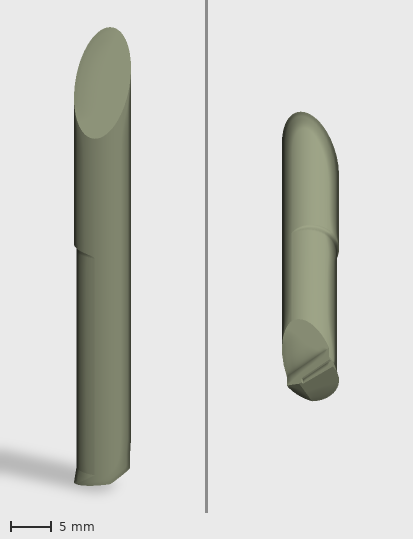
import cadquery as cq
import math

LENGTH = 58.3
RADIUS = 3.5
SLANT_RISE = math.tan(math.radians(60))

NECK_OFFSET = 0.35
NECK_TOP = 30.55
NECK_FILLET = 0.9
NECK_BOTTOM = 2.3
FLARE_BOTTOM = 0.0

FLAT_Y = 0.3
FLAT_TOP = 4.45
END_SLOPE = 0.15
END_RELIEF = 0.1
CORNER_X = 1.6
CORNER_Z = 0.75
CHAMFER_TOP = 2.3

TIP_RIGHT = 1.15
TIP_TOP = 1.65

MARGIN = 2.9
REACH = RADIUS + MARGIN


def yz_prism(points):
    """Extrude an outline of (Y, Z) points across the whole bar."""
    return cq.Workplane("YZ").polyline(points).close().extrude(REACH, both=True)


def rear_slant_cutter():
    """Wedge that leaves the rear end slanted, highest at +Y."""
    low = LENGTH - SLANT_RISE * (RADIUS + REACH)
    high = LENGTH + SLANT_RISE * MARGIN
    return yz_prism([(-REACH, low), (REACH, high), (-REACH, high)])


def front_flat_cutter():
    """Space above the flat, run out by a slanted face toward +Y."""
    run_out = FLAT_TOP + SLANT_RISE * (REACH - FLAT_Y)
    return yz_prism([(FLAT_Y, -MARGIN), (FLAT_Y, FLAT_TOP), (REACH, run_out), (REACH, -MARGIN)])


def neck_cutter():
    """Ring around the neck axis, filleted at the top and flared at the bottom."""
    outer = RADIUS + NECK_FILLET
    arc_side = NECK_FILLET * math.sqrt(0.5)
    flare_slope = (NECK_BOTTOM - FLARE_BOTTOM) / NECK_OFFSET
    flare_end = NECK_BOTTOM - flare_slope * NECK_FILLET
    return (
        cq.Workplane("XZ")
        .moveTo(RADIUS, NECK_BOTTOM)
        .lineTo(RADIUS, NECK_TOP)
        .threePointArc((outer - arc_side, NECK_TOP + arc_side), (outer, NECK_TOP + NECK_FILLET))
        .lineTo(outer, flare_end)
        .close()
        .revolve(360, (0, 0), (0, 1))
        .translate((NECK_OFFSET, 0, 0))
    )


def cutting_end_cutter():
    """Space below the sloping end face, which rises toward +X and toward -Y."""
    def section(y):
        lift = -END_RELIEF * y
        left = lift - END_SLOPE * MARGIN
        right = lift + END_SLOPE * (RADIUS + REACH)
        return cq.Wire.makePolygon(
            [
                cq.Vector(-REACH, y, -REACH),
                cq.Vector(REACH, y, -REACH),
                cq.Vector(REACH, y, right),
                cq.Vector(-REACH, y, left),
            ],
            close=True,
        )
    return cq.Workplane(cq.Solid.makeLoft([section(-REACH), section(REACH)], True))


def end_chamfer_cutter():
    """Wedge that chamfers the end away from the cutting edge."""
    slope = (CHAMFER_TOP - CORNER_Z) / (RADIUS - CORNER_X)
    low = CORNER_Z - slope * MARGIN
    high = CHAMFER_TOP + slope * MARGIN
    points = [(CORNER_X - MARGIN, low), (REACH, high), (REACH, low)]
    return cq.Workplane("XZ").polyline(points).close().extrude(REACH, both=True)


def tip_zone():
    """Corner of the front end that is taken by the cutting tip and its rake clearance."""
    width = REACH + TIP_RIGHT
    height = REACH + TIP_TOP
    center = ((TIP_RIGHT - REACH) / 2, 0, (TIP_TOP - REACH) / 2)
    return cq.Workplane().box(width, 2 * REACH, height).translate(center)


def shaped_blank():
    """Complete bar before the tip corner is separated."""
    return (
        cq.Workplane()
        .circle(RADIUS)
        .extrude(LENGTH)
        .cut(rear_slant_cutter())
        .cut(front_flat_cutter())
        .cut(neck_cutter())
        .cut(cutting_end_cutter())
        .cut(end_chamfer_cutter())
    )


def make_bar(blank):
    """Bar with an open seat for the tip."""
    return blank.cut(tip_zone())


def make_cutting_tip(blank):
    """Tip that fills the seat up to its rake face on Y = 0."""
    rake_clearance = cq.Workplane().box(2 * REACH, REACH, 2 * REACH).translate((0, REACH / 2, 0))
    return blank.intersect(tip_zone()).cut(rake_clearance)


blank = shaped_blank()
bar = make_bar(blank)
cutting_tip = make_cutting_tip(blank)

result = cq.Compound.makeCompound([bar.val(), cutting_tip.val()])